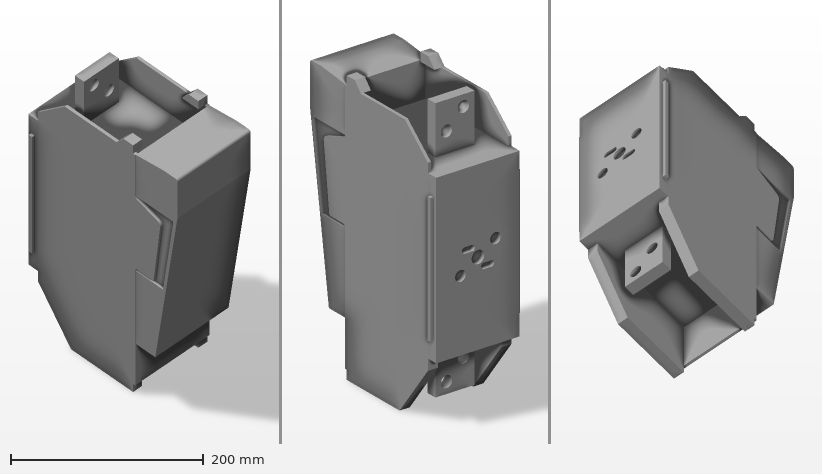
import cadquery as cq

TOP = 354.2
MID_Z = 185.3
FRONT_X = 157.5

WALL_HALF_WIDTH = 54.2
WALL_THICKNESS = 4.0
WALL_INNER = WALL_HALF_WIDTH - WALL_THICKNESS
WALL_BACK_X = 14.0
WALL_TOP = 338.5
LIP = 3.2
FOOT_FRONT_X = FRONT_X - LIP
PANEL_BOTTOM = 11.7
TOP_CHAMFER_X = 54.2
TOP_CHAMFER_Z = 304.0
BOTTOM_CHAMFER_X = 63.0
BOTTOM_CHAMFER_Z = 64.5

THICK_WALL = 13.0
LUG_BASE_X = 130.0
LUG_TOP_X = 140.5
LUG_TOP = 350.5

BLOCK_HEIGHT = 213.5
BLOCK_INSET = 0.18
BLOCK_HALF_WIDTH = WALL_HALF_WIDTH - BLOCK_INSET
BLOCK_BOTTOM = MID_Z - BLOCK_HEIGHT / 2
BLOCK_TOP = MID_Z + BLOCK_HEIGHT / 2

RAIL_X = 4.5
RAIL_DEPTH = 5.0
RAIL_HEIGHT = 165.8
RAIL_SPAN = 116.0
RAIL_HALF_WIDTH = RAIL_SPAN / 2

BAR_X = 39.5
BAR_BOTTOM = 15.5
BAR_THICKNESS = 13.5
BAR_WIDTH = 50.5
BAR_HOLE_DIAMETER = 15.0
BAR_HOLE_Y = 11.0
BAR_HOLE_INSETS = (14.0, 36.0)

MOUNT_DEPTH = 5.3
CENTRE_HOLE_DIAMETER = 16.3
SIDE_HOLE_DIAMETER = 13.8
SIDE_HOLE_Y = 22.5
SIDE_HOLE_Z = 15.2
SLOT_LENGTH = 17.0
SLOT_WIDTH = 7.5
SLOT_OFFSET = 12.5

HANDLE_HALF_WIDTH = 53.5
HANDLE_FRONT_X = 219.0
HANDLE_SLOPE_X = 199.0
HANDLE_TOP = 343.5
HANDLE_EDGE_RADIUS = 3.0
HANDLE_FRONT_BOTTOM = 289.0
HANDLE_TOE_X = 186.5
HANDLE_BOTTOM = 70.0

RECESS_TOP = 280.2
RECESS_BOTTOM = 174.0
RECESS_TOP_X = 213.0
RECESS_BOTTOM_X = 197.5

TAB_ROOT_TOP = 278.0
TAB_TIP_X = 195.0
TAB_TIP_Z = 265.5
TAB_HEEL_X = 184.5
TAB_BOTTOM = 178.0
TAB_TIP_RADIUS = 6.5
TAB_HEEL_RADIUS = 2.0
TAB_ROOT_RADIUS = 3.2


def box(x0, x1, y0, y1, z0, z1):
    return cq.Workplane("XY").box(x1 - x0, y1 - y0, z1 - z0, centered=False).translate((x0, y0, z0))


def plate(points, y0, y1):
    """Extrude an XZ outline from y0 to y1."""
    return cq.Workplane("XZ", origin=(0, y0, 0)).polyline(points).close().extrude(y0 - y1)


def both_sides(solid):
    return solid.union(solid.mirror("XZ"))


def round_corner(solid, x, z, radius):
    """Round the edge along Y that passes through (x, z)."""
    middle_y = solid.val().Center().y
    corner = cq.selectors.NearestToPointSelector((x, middle_y, z))
    return solid.edges("|Y").edges(corner).fillet(radius)


def side_wall():
    outline = [
        (WALL_BACK_X, BOTTOM_CHAMFER_Z),
        (BOTTOM_CHAMFER_X, 0),
        (FOOT_FRONT_X, 0),
        (FOOT_FRONT_X, PANEL_BOTTOM),
        (FRONT_X, PANEL_BOTTOM),
        (FRONT_X, TAB_BOTTOM),
        (TAB_HEEL_X, TAB_BOTTOM),
        (TAB_TIP_X, TAB_TIP_Z),
        (FRONT_X, TAB_ROOT_TOP),
        (FRONT_X, WALL_TOP),
        (TOP_CHAMFER_X, WALL_TOP),
        (WALL_BACK_X, TOP_CHAMFER_Z),
    ]
    wall = plate(outline, WALL_INNER, WALL_HALF_WIDTH)
    wall = round_corner(wall, TAB_TIP_X, TAB_TIP_Z, TAB_TIP_RADIUS)
    wall = round_corner(wall, TAB_HEEL_X, TAB_BOTTOM, TAB_HEEL_RADIUS)
    wall = round_corner(wall, FRONT_X, TAB_ROOT_TOP, TAB_ROOT_RADIUS)
    return round_corner(wall, FRONT_X, TAB_BOTTOM, TAB_ROOT_RADIUS)


def foot():
    outline = [
        (WALL_BACK_X, BOTTOM_CHAMFER_Z),
        (BOTTOM_CHAMFER_X, 0),
        (FOOT_FRONT_X, 0),
        (FOOT_FRONT_X, BLOCK_BOTTOM),
        (WALL_BACK_X, BLOCK_BOTTOM),
    ]
    return plate(outline, WALL_HALF_WIDTH - THICK_WALL, WALL_HALF_WIDTH)


def lug():
    outline = [
        (LUG_BASE_X, WALL_TOP),
        (FOOT_FRONT_X, WALL_TOP),
        (FOOT_FRONT_X, LUG_TOP),
        (LUG_TOP_X, LUG_TOP),
    ]
    return plate(outline, WALL_HALF_WIDTH - THICK_WALL, WALL_HALF_WIDTH)


def handle():
    outline = [
        (FRONT_X, WALL_TOP),
        (HANDLE_SLOPE_X, HANDLE_TOP),
        (HANDLE_FRONT_X, HANDLE_TOP),
        (HANDLE_FRONT_X, HANDLE_FRONT_BOTTOM),
        (HANDLE_TOE_X, HANDLE_BOTTOM),
        (FRONT_X, HANDLE_BOTTOM),
    ]
    recess_outline = [
        (FRONT_X, RECESS_TOP),
        (RECESS_TOP_X, RECESS_TOP),
        (RECESS_BOTTOM_X, RECESS_BOTTOM),
        (FRONT_X, RECESS_BOTTOM),
    ]
    recess = plate(recess_outline, WALL_INNER, HANDLE_HALF_WIDTH)
    body = plate(outline, -HANDLE_HALF_WIDTH, HANDLE_HALF_WIDTH)
    body = round_corner(body, HANDLE_FRONT_X, HANDLE_TOP, HANDLE_EDGE_RADIUS)
    return body.cut(both_sides(recess))


def rail():
    bottom = MID_Z - RAIL_HEIGHT / 2
    return box(RAIL_X, RAIL_X + RAIL_DEPTH, BLOCK_HALF_WIDTH, RAIL_HALF_WIDTH, bottom, bottom + RAIL_HEIGHT)


def terminal_bar():
    half_height = (TOP - BAR_BOTTOM) / 2
    bar = box(BAR_X, BAR_X + BAR_THICKNESS, -BAR_WIDTH / 2, BAR_WIDTH / 2, BAR_BOTTOM, TOP)
    outer, inner = (half_height - inset for inset in BAR_HOLE_INSETS)
    centres = [(-BAR_HOLE_Y, outer), (BAR_HOLE_Y, inner), (BAR_HOLE_Y, -outer), (-BAR_HOLE_Y, -inner)]
    holes = (
        cq.Workplane("YZ", origin=(BAR_X, 0, BAR_BOTTOM + half_height))
        .pushPoints(centres)
        .circle(BAR_HOLE_DIAMETER / 2)
        .extrude(BAR_THICKNESS)
    )
    return bar.cut(holes)


def mounting_holes():
    face = cq.Workplane("YZ", origin=(0, 0, MID_Z))
    centre = face.circle(CENTRE_HOLE_DIAMETER / 2).extrude(MOUNT_DEPTH)
    sides = (
        face.pushPoints([(-SIDE_HOLE_Y, SIDE_HOLE_Z), (SIDE_HOLE_Y, -SIDE_HOLE_Z)])
        .circle(SIDE_HOLE_DIAMETER / 2)
        .extrude(MOUNT_DEPTH)
    )
    slots = (
        face.pushPoints([(SLOT_OFFSET, SLOT_OFFSET), (-SLOT_OFFSET, -SLOT_OFFSET)])
        .slot2D(SLOT_LENGTH, SLOT_WIDTH)
        .extrude(MOUNT_DEPTH)
    )
    return centre.union(sides).union(slots)


block = box(0, FRONT_X, -BLOCK_HALF_WIDTH, BLOCK_HALF_WIDTH, BLOCK_BOTTOM, BLOCK_TOP)
block = block.cut(mounting_holes())
front_panel = box(FOOT_FRONT_X, FRONT_X, -WALL_INNER, WALL_INNER, PANEL_BOTTOM, BLOCK_BOTTOM)

result = block
for section in (terminal_bar(), front_panel, handle()):
    result = result.union(section)
for side_part in (rail(), side_wall(), foot(), lug()):
    result = result.union(both_sides(side_part))